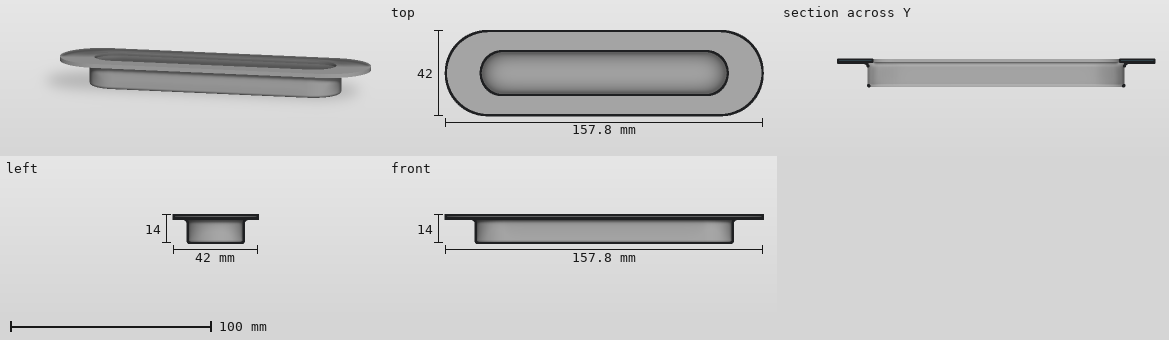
import cadquery as cq

overall_length = 157.8
overall_width = 42.0
overall_height = 14.0

plate_thickness = 1.5
opening_length = 123.0
opening_width = 22.0

sheet_thickness = 0.5
cup_length = 128.0
cup_width = 28.0
rim_bend_outside_radius = 2.0
floor_bend_inside_radius = 1.0

plate_bottom = overall_height - plate_thickness
rim_bottom = plate_bottom - sheet_thickness
cavity_length = cup_length - 2 * sheet_thickness
cavity_width = cup_width - 2 * sheet_thickness
rim_bend_mouth_radius = rim_bend_outside_radius + sheet_thickness
floor_bend_outside_radius = floor_bend_inside_radius + sheet_thickness


def slot(length, width, bottom, top):
    """Upright solid with round ends, between two heights."""
    outline = cq.Workplane("XY").workplane(offset=bottom).slot2D(length, width)
    return outline.extrude(top - bottom)


def round_inner_loop(body, face, radius):
    """Fillet the edges of the single hole or boss outline inside a flat face."""
    loop = face.innerWires()[0]
    return body.newObject(loop.Edges()).fillet(radius)


def make_cover_plate():
    """Flat plate whose through opening overhangs the cup walls."""
    plate = slot(overall_length, overall_width, plate_bottom, overall_height)
    opening = slot(opening_length, opening_width, plate_bottom, overall_height)
    return plate.cut(opening)


def make_cup():
    """Thin sheet tray with bent corners and a flat rim under the plate."""
    tray = slot(cup_length, cup_width, 0, rim_bottom)
    tray = tray.faces("<Z").edges().fillet(floor_bend_outside_radius)
    rim = slot(overall_length, overall_width, rim_bottom, plate_bottom)
    cup = rim.union(tray)
    rim_underside = cup.faces("|Z").faces("<Z[1]").val()
    cup = round_inner_loop(cup, rim_underside, rim_bend_outside_radius)

    cavity = slot(cavity_length, cavity_width, sheet_thickness, plate_bottom)
    cavity = cavity.faces("<Z").edges().fillet(floor_bend_inside_radius)
    cup = cup.cut(cavity)
    rim_top = cup.faces(">Z").val()
    return round_inner_loop(cup, rim_top, rim_bend_mouth_radius)


cover_plate = make_cover_plate()
cup = make_cup()

result = cq.Compound.makeCompound([cover_plate.solids().val(), cup.solids().val()])